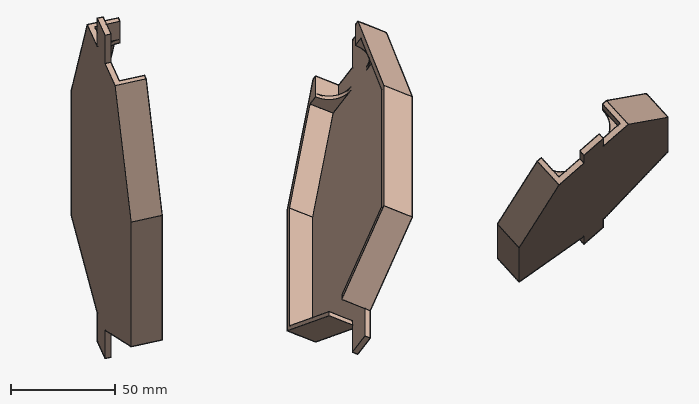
import cadquery as cq

width = 96.0
depth = 15.7
height = 214.5

floor_thickness = 3.0
wall_thickness = 2.4
web_thickness = 2.4

tab_width = 12.5
tab_length = 18.8

top_edge_width = 44.6
taper_height = 67.2
straight_height = 82.7

mouth_width = 39.4
mouth_depth = 12.0
passage_corner_radius = 12.0

body_bottom = tab_length
body_top = height - tab_length
upper_corner = body_top - taper_height
lower_corner = upper_corner - straight_height

web_top = body_top - mouth_depth
web_bottom = web_top - web_thickness


def extrude_along_y(sketch, y_start, y_end):
    """Extrude a sketch drawn on the XZ plane from y_start to y_end."""
    return sketch.extrude(-(y_end - y_start)).translate((0, y_start, 0))


def body_outline():
    """Six-sided outline: tapered top, straight sides, V-shaped bottom."""
    right_side = [
        (tab_width / 2, body_bottom),
        (width / 2, lower_corner),
        (width / 2, upper_corner),
        (top_edge_width / 2, body_top),
    ]
    left_side = [(-x, z) for x, z in reversed(right_side)]
    return cq.Workplane("XZ").polyline(right_side + left_side).close()


def block(x_size, y_start, y_end, z_start, z_end):
    """Box centred on X = 0."""
    box = cq.Workplane("XY").box(x_size, y_end - y_start, z_end - z_start, centered=(True, False, False))
    return box.translate((0, y_start, z_start))


def inner_outline():
    """Body outline moved inward by the wall thickness."""
    return body_outline().offset2D(-wall_thickness, "intersection")


def make_main_cavity():
    """Hollow below the web, bounded by walls of even thickness."""
    inside = extrude_along_y(inner_outline(), floor_thickness, depth)
    return inside.intersect(block(width, floor_thickness, depth, 0, web_bottom))


def make_mouth():
    """Square-cornered opening with upright sides, from the top edge down to the web."""
    return block(mouth_width, floor_thickness, depth, web_top, body_top)


def make_passage():
    """Opening through the web, as wide as the mouth, rounded where it meets the floor."""
    passage_back = depth + passage_corner_radius
    passage = block(mouth_width, floor_thickness, passage_back, web_bottom, web_top)
    return passage.edges("|Z and <Y").fillet(passage_corner_radius)


def make_outlet():
    """Gap between the ends of the V-shaped bottom walls, as wide as the lower tab."""
    return block(tab_width, floor_thickness, depth, body_bottom, lower_corner)


body = extrude_along_y(body_outline(), 0, depth)
body = body.cut(make_main_cavity()).cut(make_mouth()).cut(make_passage()).cut(make_outlet())
tabs = block(tab_width, 0, floor_thickness, 0, height)
result = body.union(tabs)